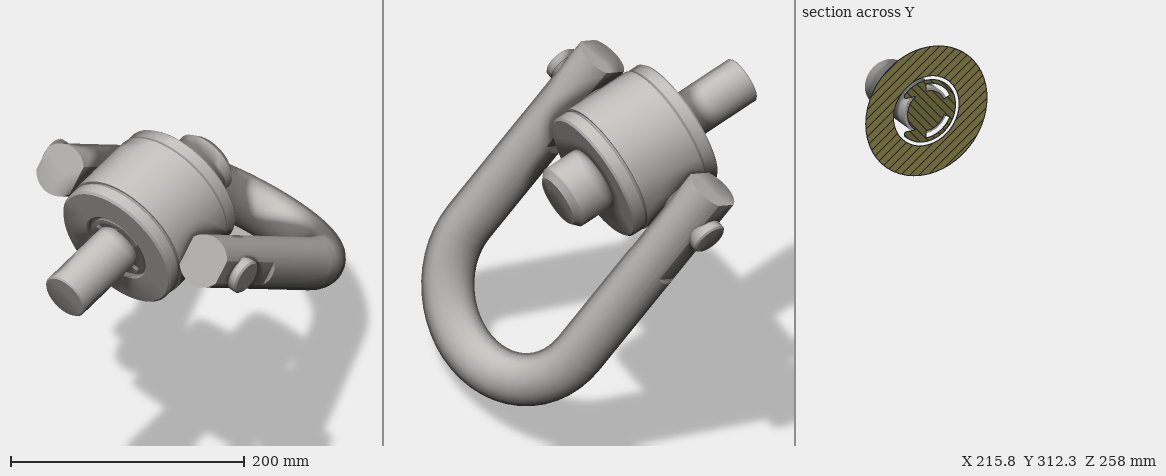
import cadquery as cq
import math


OVERALL_WIDTH = 215.8
OVERALL_LENGTH = 312.3

DRUM_RADIUS = 60.5
DRUM_HALF_LENGTH = 30.5
FLANGE_RADIUS = 59.5
FLANGE_FACE_Y = 45.0
FLANGE_CHAMFER = 2.0
GROOVE_WIDTH = 2.0
GROOVE_RADIUS = 58.5
RECESS_RADIUS = 32.0
RECESS_DEPTH = 4.7
RECESS_FLOOR_Y = RECESS_DEPTH - FLANGE_FACE_Y
RECESS_CHAMFER = 1.2

BAR_RADIUS = 22.8
LEG_X = 79.0
LEG_LENGTH = 168.0
LEG_OVERHANG = 33.5
FLAT_INNER_X = DRUM_RADIUS
FLAT_OUTER_X = 99.0
FLAT_LENGTH = 56.8
BAIL_TILT = -45
BAIL_REAR_Y = (LEG_LENGTH + LEG_X) * math.cos(math.radians(BAIL_TILT)) + BAR_RADIUS

SHANK_RADIUS = 21.2
SHANK_TIP_Y = BAIL_REAR_Y - OVERALL_LENGTH
SHANK_TIP_CHAMFER = 1.2
HEAD_RADIUS = 29.0
HEAD_LENGTH = 37.5
HEAD_CHAMFER = 6.0
CLIP_RADIUS = 28.7
CLIP_THICKNESS = 3.0
CLIP_GROOVE_RADIUS = 18.7
CLIP_MOUTH_WIDTH = 30.5
CLIP_EAR_FILLET = 2.5
WINDOW_RADIUS = 25.0
WINDOW_START_ANGLE = 90
WINDOW_END_ANGLE = 156

PIN_END_X = OVERALL_WIDTH / 2
PIN_INNER_X = 37.5
PIN_SHANK_RADIUS = 14.7
PIN_HEAD_RADIUS = 15.5
PIN_HEAD_LENGTH = 7.8
PIN_CHAMFER = 1.5

SIDES = (-1, 1)


def cylinder_y(radius, start_y, end_y):
    """Cylinder on the Y axis between two Y positions."""
    return cq.Workplane("XZ", origin=(0, end_y, 0)).circle(radius).extrude(end_y - start_y)


def cylinder_x(radius, start_x, end_x):
    """Cylinder on the X axis between two X positions."""
    return cq.Workplane("YZ", origin=(start_x, 0, 0)).circle(radius).extrude(end_x - start_x)


def make_flange(side):
    """End flange, chamfered on both edges, on the +Y or -Y side of the drum."""
    inner_y, outer_y = sorted((side * (DRUM_HALF_LENGTH + GROOVE_WIDTH / 2), side * FLANGE_FACE_Y))
    return cylinder_y(FLANGE_RADIUS, inner_y, outer_y).edges().chamfer(FLANGE_CHAMFER)


def make_recess():
    """Round pocket with a chamfered mouth in the -Y face, where the clip sits."""
    face_y = -FLANGE_FACE_Y
    return (
        cq.Workplane("XY")
        .polyline([
            (0, face_y),
            (RECESS_RADIUS + RECESS_CHAMFER, face_y),
            (RECESS_RADIUS, face_y + RECESS_CHAMFER),
            (RECESS_RADIUS, RECESS_FLOOR_Y),
            (0, RECESS_FLOOR_Y),
        ])
        .close()
        .revolve(360, (0, 0, 0), (0, 1, 0))
    )


def make_housing():
    """Drum and flanges with narrow grooves between them, bored for the bolt and the pins."""
    housing = cylinder_y(DRUM_RADIUS, -DRUM_HALF_LENGTH, DRUM_HALF_LENGTH)
    groove_y = DRUM_HALF_LENGTH + GROOVE_WIDTH
    housing = housing.union(cylinder_y(GROOVE_RADIUS, -groove_y, groove_y))
    for side in SIDES:
        housing = housing.union(make_flange(side))
    bolt_hole = cylinder_y(SHANK_RADIUS, -FLANGE_FACE_Y, FLANGE_FACE_Y)
    housing = housing.cut(make_recess()).cut(bolt_hole)
    for side in SIDES:
        housing = housing.cut(make_pin(side))
    return housing


def polar(radius, degrees):
    """Point at a radius and an angle from the first axis of a workplane."""
    angle = math.radians(degrees)
    return (radius * math.cos(angle), radius * math.sin(angle))


def make_clip():
    """E-shaped clip that grips the shank with two ears and a tongue opposite its mouth."""
    plane = cq.Workplane("XZ", origin=(0, RECESS_FLOOR_Y, 0))
    mouth = plane.center(CLIP_RADIUS / 2, 0).rect(CLIP_RADIUS, CLIP_MOUTH_WIDTH).extrude(CLIP_THICKNESS)
    clip = plane.circle(CLIP_RADIUS).extrude(CLIP_THICKNESS).cut(mouth)
    clip = clip.edges("|Y and >X").fillet(CLIP_EAR_FILLET)
    middle_angle = (WINDOW_START_ANGLE + WINDOW_END_ANGLE) / 2
    for side in SIDES:
        window = (
            plane.moveTo(0, 0)
            .lineTo(*polar(WINDOW_RADIUS, side * WINDOW_START_ANGLE))
            .threePointArc(
                polar(WINDOW_RADIUS, side * middle_angle),
                polar(WINDOW_RADIUS, side * WINDOW_END_ANGLE),
            )
            .close()
            .extrude(CLIP_THICKNESS)
        )
        clip = clip.cut(window)
    return clip


def make_bolt():
    """Bolt with its cylindrical head seated on the +Y flange and the clip in the -Y recess."""
    shank = cylinder_y(SHANK_RADIUS, SHANK_TIP_Y, FLANGE_FACE_Y).faces("<Y").chamfer(SHANK_TIP_CHAMFER)
    clip_front_y = RECESS_FLOOR_Y - CLIP_THICKNESS
    groove = cylinder_y(SHANK_RADIUS, clip_front_y, RECESS_FLOOR_Y)
    groove = groove.cut(cylinder_y(CLIP_GROOVE_RADIUS, clip_front_y, RECESS_FLOOR_Y))
    shank = shank.cut(groove)
    head = cylinder_y(HEAD_RADIUS, FLANGE_FACE_Y, FLANGE_FACE_Y + HEAD_LENGTH)
    head = head.faces(">Y").chamfer(HEAD_CHAMFER)
    return shank.union(head).union(make_clip())


def make_flat_cutter(face_x, direction):
    """Prism that mills a flat at face_x; direction (+1 or -1 in X) points out of the bar."""
    reach = BAR_RADIUS
    return (
        cq.Workplane("XY")
        .polyline([
            (face_x, -LEG_OVERHANG),
            (face_x, FLAT_LENGTH),
            (face_x + direction * reach, FLAT_LENGTH + reach),
            (face_x + direction * reach, -LEG_OVERHANG),
        ])
        .close()
        .extrude(BAR_RADIUS, both=True)
    )


def make_bail():
    """U of round bar, drawn with its legs along Y and then tilted about the pin axis."""
    path = (
        cq.Workplane("XY")
        .moveTo(-LEG_X, -LEG_OVERHANG)
        .lineTo(-LEG_X, LEG_LENGTH)
        .threePointArc((0, LEG_LENGTH + LEG_X), (LEG_X, LEG_LENGTH))
        .lineTo(LEG_X, -LEG_OVERHANG)
    )
    bail = cq.Workplane("XZ", origin=(-LEG_X, -LEG_OVERHANG, 0)).circle(BAR_RADIUS).sweep(path)
    for side in SIDES:
        bail = bail.cut(make_flat_cutter(side * FLAT_OUTER_X, side))
        bail = bail.cut(make_flat_cutter(side * FLAT_INNER_X, -side))
    pin_hole = cylinder_x(PIN_SHANK_RADIUS, -PIN_END_X, PIN_END_X)
    return bail.cut(pin_hole).rotate((0, 0, 0), (1, 0, 0), BAIL_TILT)


def make_pin(side):
    """Headed pin on the +X or -X side, pressed into a blind hole in the drum."""
    head_start_x = PIN_END_X - PIN_HEAD_LENGTH
    head = cylinder_x(PIN_HEAD_RADIUS, head_start_x, PIN_END_X).faces(">X").chamfer(PIN_CHAMFER)
    pin = cylinder_x(PIN_SHANK_RADIUS, PIN_INNER_X, head_start_x).union(head)
    if side < 0:
        pin = pin.mirror("YZ")
    return pin


housing = make_housing()
bolt = make_bolt()
bail = make_bail()
pins = [make_pin(side) for side in SIDES]

result = cq.Compound.makeCompound([
    housing.val(),
    bolt.val(),
    bail.val(),
    *[pin.val() for pin in pins],
])